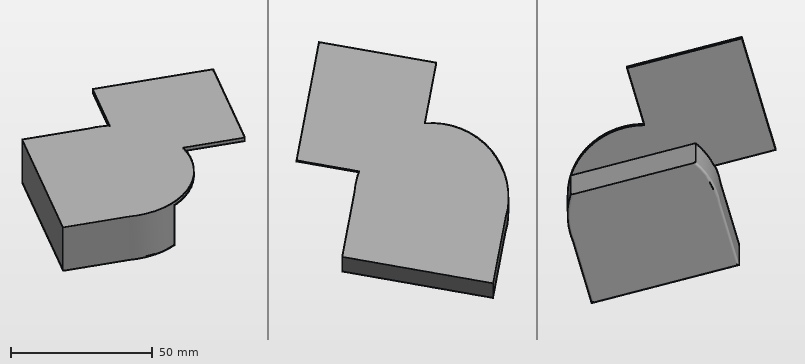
import cadquery as cq
import math

total_x = 76.8
total_y = 76.4
total_z = 19.65

back_radius = 27.35
straight_depth = 24.35
body_depth = 54.7
wall_depth = 42.25
bottom_fillet = 0.9

lid_thickness = 1.6
plate_x = 42.25
plate_y = 44.3

arc_center_x = total_x - back_radius
arc_center_y = body_depth - back_radius
half_width = math.sqrt(back_radius**2 - (arc_center_y - straight_depth) ** 2)
body_left = arc_center_x - half_width
body_right = arc_center_x + half_width
lid_bottom = total_z - lid_thickness


def round_backed_block():
    """Full-depth block, rounded along its bottom rim."""
    block = (
        cq.Workplane("XY")
        .moveTo(body_left, 0)
        .lineTo(body_right, 0)
        .lineTo(body_right, straight_depth)
        .threePointArc((arc_center_x, body_depth), (body_left, straight_depth))
        .close()
        .extrude(total_z)
    )
    return block.faces("<Z").edges().fillet(bottom_fillet)


def space_under_lid():
    """Box that cuts the back of the body off square, below the lid."""
    return cq.Workplane("XY").box(total_x, total_y - wall_depth, lid_bottom, centered=False).translate(
        (0, wall_depth, 0)
    )


def plate():
    """Rectangular plate, flush with the top."""
    return cq.Workplane("XY").box(plate_x, plate_y, lid_thickness, centered=False).translate(
        (0, total_y - plate_y, lid_bottom)
    )


result = round_backed_block().cut(space_under_lid()).union(plate())